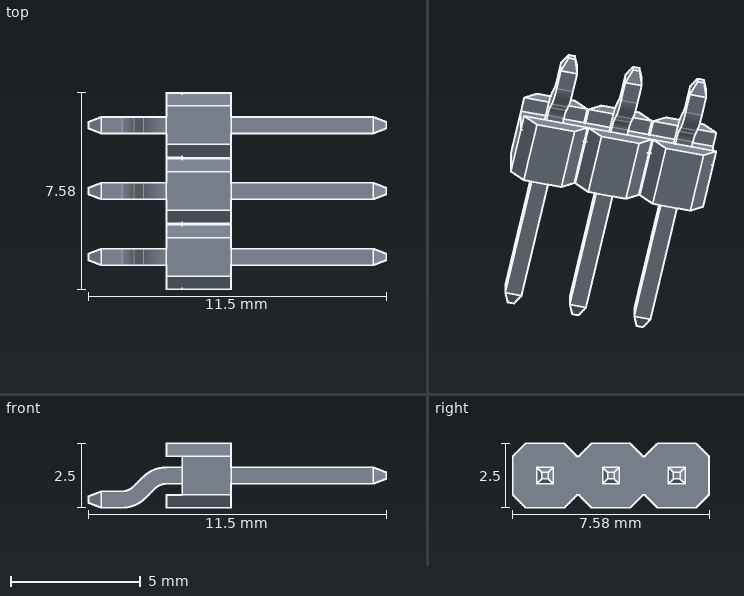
import cadquery as cq
import math


pin_count = 3
pitch = 2.54

segment_width = 2.5
housing_height = 2.5
housing_length = 2.5
housing_start = 3.01
housing_chamfer = 0.51
face_recess_depth = 0.61

pin_length = 11.5
pin_thickness = 0.64
tip_length = 0.51
tip_end_width = 0.25
bend_angle = math.radians(45)
bend_inner_radius = 0.63

waist_height = housing_height - 2 * housing_chamfer
row_width = (pin_count - 1) * pitch + segment_width
row_positions = [(i - (pin_count - 1) / 2) * pitch for i in range(pin_count)]

bend_radius = bend_inner_radius + pin_thickness / 2
crank_drop = (housing_height - pin_thickness) / 2
bend_run = bend_radius * math.sin(bend_angle)
bend_rise = bend_radius * (1 - math.cos(bend_angle))
half_bend_run = bend_radius * math.sin(bend_angle / 2)
half_bend_rise = bend_radius * (1 - math.cos(bend_angle / 2))
slope_rise = crank_drop - 2 * bend_rise
slope_run = slope_rise / math.tan(bend_angle)
crank_end = housing_start
crank_start = crank_end - 2 * bend_run - slope_run


def make_housing():
    """Row of chamfered segments with a recessed waist on the -X face and a hole for each pin."""
    housing = cq.Workplane("XY").box(
        housing_length, row_width, waist_height, centered=(False, True, True)
    )
    for y in row_positions:
        segment = (
            cq.Workplane("XY")
            .box(housing_length, segment_width, housing_height, centered=(False, True, True))
            .edges("|X")
            .chamfer(housing_chamfer)
            .translate((0, y, 0))
        )
        housing = housing.union(segment)

    face_recess = cq.Workplane("XY").box(
        face_recess_depth, row_width, waist_height, centered=(False, True, True)
    )
    housing = housing.cut(face_recess)

    for y in row_positions:
        pin_hole = (
            cq.Workplane("XY")
            .box(housing_length, pin_thickness, pin_thickness, centered=(False, True, True))
            .translate((0, y, 0))
        )
        housing = housing.cut(pin_hole)
    return housing.translate((housing_start, 0, 0))


def make_tip(base_x, z, direction):
    """Square tip that narrows from base_x towards direction (+1 or -1) along X."""
    base = cq.Plane(origin=(base_x, 0, z), xDir=(0, 1, 0), normal=(direction, 0, 0))
    return (
        cq.Workplane(base)
        .rect(pin_thickness, pin_thickness)
        .workplane(offset=tip_length)
        .rect(tip_end_width, tip_end_width)
        .loft(ruled=True)
    )


def make_pin(y):
    """Cranked square pin with a tapered tip at each end."""
    path = (
        cq.Workplane("XZ")
        .moveTo(tip_length, -crank_drop)
        .lineTo(crank_start, -crank_drop)
        .threePointArc(
            (crank_start + half_bend_run, half_bend_rise - crank_drop),
            (crank_start + bend_run, bend_rise - crank_drop),
        )
        .lineTo(crank_end - bend_run, -bend_rise)
        .threePointArc((crank_end - half_bend_run, -half_bend_rise), (crank_end, 0))
        .lineTo(pin_length - tip_length, 0)
    )
    wire = (
        cq.Workplane("YZ", origin=(tip_length, 0, -crank_drop))
        .rect(pin_thickness, pin_thickness)
        .sweep(path)
    )
    solder_tip = make_tip(tip_length, -crank_drop, -1)
    mating_tip = make_tip(pin_length - tip_length, 0, 1)
    return wire.union(solder_tip).union(mating_tip).translate((0, y, 0))


housing = make_housing()
pins = [make_pin(y) for y in row_positions]

result = cq.Compound.makeCompound([housing.solids().val(), *[pin.solids().val() for pin in pins]])